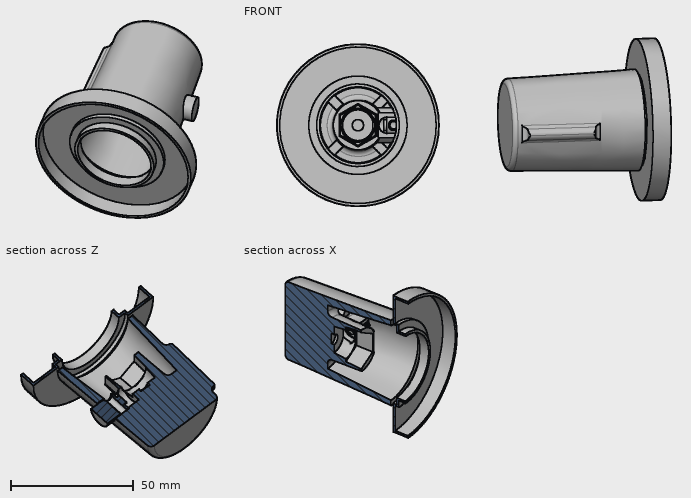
import cadquery as cq
import math


rosette_diameter = 66.0
rosette_wall = 1.2
rosette_depth = 7.6
step_diameter = 40.0
step_rise = 1.8
step_recess_diameter = 38.0
sleeve_bore_diameter = 31.2
sleeve_front_y = 1.3

knob_front_y = 8.6
knob_back_y = 62.75
knob_back_diameter = 37.6
knob_draft = 2.0
knob_back_rounding = 2.0
cavity_floor_y = 40.9
cavity_floor_diameter = 30.5
cavity_mouth_diameter = 36.05

hub_front_y = 23.75
hub_front_diameter = 20.0
hub_root_diameter = 20.85
hub_fillet = 2.2
hex_flats = 15.2
hex_floor_flats = 14.25
hex_depth = 7.9
socket_mouth_diameter = 13.8
socket_floor_diameter = 12.5
socket_floor_y = 37.6
socket_hole_diameter = 4.6
socket_hole_depth = 1.3

web_count = 4
web_width = 3.75
web_front_y = 37.6
web_embed = 1.3

button_y = 36.8
button_diameter = 10.1
button_bore_diameter = 10.2
tip_bore_diameter = 9.25
tip_bore_end_x = 6.0
button_inner_x = 11.8
button_outer_x = 23.5
button_tip_diameter = 4.6
button_tip_x = 10.4
cross_hole_diameter = 3.1
cross_hole_rim_diameter = 4.15
cross_hole_x = 14.5
boss_diameter = 14.2
boss_flat_half_width = 5.15
boss_start_x = 8.3
slot_width = 6.55
boss_flat_y = button_y - math.sqrt((boss_diameter / 2) ** 2 - boss_flat_half_width**2)

rib_foot_start_y = 27.1
rib_foot_end_y = 59.15
rib_foot_width = 8.9
rib_foot_drop = 0.65
rib_flank_width = 4.75
rib_flank_rise = 1.1
rib_flank_flare_radius = 2.8
rib_crown_radius = 2.45
rib_height = 3.05
rib_end_flare_radius = 2.1
rib_end_rounding = rib_height - rib_end_flare_radius
rib_embed = 3.3

draft_slope = math.tan(math.radians(knob_draft))


def turned(points):
    """Revolve a closed (radius, y) outline about the Y axis."""
    return cq.Workplane("XY").polyline(points).close().revolve(360, (0, 0, 0), (0, 1, 0))


def rod_x(diameter, x_start, x_end):
    """Round rod along X, centred on the button axis."""
    plane = cq.Workplane("YZ", origin=(x_start, button_y, 0))
    return plane.circle(diameter / 2).extrude(x_end - x_start)


def knob_radius(y):
    """Outer radius of the drafted knob shell."""
    return knob_back_diameter / 2 + (knob_back_y - y) * draft_slope


def cavity_radius(y):
    """Inner radius of the tapered knob cavity."""
    depth_ratio = (y - knob_front_y) / (cavity_floor_y - knob_front_y)
    return (cavity_mouth_diameter + (cavity_floor_diameter - cavity_mouth_diameter) * depth_ratio) / 2


def block(x_start, x_end, y_start, y_end, width):
    """Rectangular block, centred on z = 0."""
    box = cq.Workplane("XY").box(x_end - x_start, y_end - y_start, width, centered=(False, False, True))
    return box.translate((x_start, y_start, 0))


def make_rosette():
    outer = rosette_diameter / 2
    bore = sleeve_bore_diameter / 2
    step = step_diameter / 2
    recess = step_recess_diameter / 2
    plate_y = rosette_depth - rosette_wall
    step_y = plate_y - step_rise
    return turned([
        (outer, 0),
        (outer, rosette_depth),
        (recess, rosette_depth),
        (recess, step_y + rosette_wall),
        (bore, step_y + rosette_wall),
        (bore, sleeve_front_y),
        (bore + rosette_wall, sleeve_front_y),
        (bore + rosette_wall, step_y),
        (step, step_y),
        (step, plate_y),
        (outer - rosette_wall, plate_y),
        (outer - rosette_wall, 0),
    ])


def rib_cross_section(length):
    """Rounded crown with flared flanks, extruded along the rib; height runs toward -X."""
    foot = rib_foot_width / 2
    flank = rib_flank_width / 2
    return (
        cq.Workplane("XZ")
        .moveTo(rib_embed, -foot)
        .lineTo(rib_foot_drop, -foot)
        .radiusArc((-rib_flank_rise, -flank), -rib_flank_flare_radius)
        .radiusArc((-rib_height, 0), rib_crown_radius)
        .radiusArc((-rib_flank_rise, flank), rib_crown_radius)
        .radiusArc((rib_foot_drop, foot), -rib_flank_flare_radius)
        .lineTo(rib_embed, foot)
        .close()
        .extrude(length / 2, both=True)
    )


def rib_long_section(length):
    """Rounded and flared ends, extruded across the rib; height runs toward -X."""
    foot = length / 2
    end = foot - rib_end_flare_radius
    crown = end - rib_end_rounding
    return (
        cq.Workplane("XY")
        .moveTo(rib_embed, -foot)
        .lineTo(0, -foot)
        .radiusArc((-rib_end_flare_radius, -end), -rib_end_flare_radius)
        .radiusArc((-rib_height, -crown), rib_end_rounding)
        .lineTo(-rib_height, crown)
        .radiusArc((-rib_end_flare_radius, end), rib_end_rounding)
        .radiusArc((0, foot), -rib_end_flare_radius)
        .lineTo(rib_embed, foot)
        .close()
        .extrude(rib_foot_width, both=True)
    )


def make_grip_rib():
    length = rib_foot_end_y - rib_foot_start_y
    middle_y = (rib_foot_start_y + rib_foot_end_y) / 2
    rib = rib_cross_section(length).intersect(rib_long_section(length))
    rib = rib.rotate((0, 0, 0), (0, 0, 1), -knob_draft)
    return rib.translate((-knob_radius(middle_y), middle_y, 0))


def make_shell():
    shell = turned([
        (0, knob_front_y),
        (knob_radius(knob_front_y), knob_front_y),
        (knob_radius(knob_back_y), knob_back_y),
        (0, knob_back_y),
    ])
    return shell.faces(">Y").edges().fillet(knob_back_rounding)


def make_cavity():
    return turned([
        (0, knob_front_y),
        (cavity_radius(knob_front_y), knob_front_y),
        (cavity_radius(cavity_floor_y), cavity_floor_y),
        (0, cavity_floor_y),
    ])


def make_hub():
    """Drafted hub whose root flares into the cavity floor."""
    root = hub_root_diameter / 2
    return (
        cq.Workplane("XY")
        .moveTo(0, hub_front_y)
        .lineTo(hub_front_diameter / 2, hub_front_y)
        .lineTo(root, cavity_floor_y - hub_fillet)
        .radiusArc((root + hub_fillet, cavity_floor_y), hub_fillet)
        .lineTo(0, cavity_floor_y)
        .close()
        .revolve(360, (0, 0, 0), (0, 1, 0))
    )


def make_webs():
    reach = cavity_radius(web_front_y) + web_embed
    webs = cq.Workplane("XY")
    for i in range(web_count):
        web = block(0, reach, web_front_y, cavity_floor_y, web_width)
        webs = webs.union(web.rotate((0, 0, 0), (0, 1, 0), (i + 0.5) * 360 / web_count))
    return webs


def make_boss():
    """Round boss along X with a flat front, standing on the cavity floor."""
    reach = cavity_radius(button_y) + web_embed
    foot = block(0, reach, button_y, cavity_floor_y, boss_diameter)
    front = block(0, reach, hub_front_y, boss_flat_y, boss_diameter)
    return rod_x(boss_diameter, 0, reach).union(foot).cut(front)


def make_socket():
    """Hexagonal socket, round socket behind it and the small hole in its floor."""
    corner_ratio = 2 / math.sqrt(3)
    hex_end_y = hub_front_y + hex_depth
    hexagon = (
        cq.Workplane("XZ", origin=(0, hub_front_y, 0))
        .transformed(rotate=(0, 0, 90))
        .polygon(6, hex_flats * corner_ratio)
        .workplane(offset=-hex_depth)
        .polygon(6, hex_floor_flats * corner_ratio)
        .loft(ruled=True)
    )
    hole_radius = socket_hole_diameter / 2
    hole_end_y = socket_floor_y + socket_hole_depth
    bore = turned([
        (0, hex_end_y),
        (socket_mouth_diameter / 2, hex_end_y),
        (socket_floor_diameter / 2, socket_floor_y),
        (hole_radius, socket_floor_y),
        (hole_radius, hole_end_y),
        (0, hole_end_y),
    ])
    return hexagon.union(bore)


def make_slot():
    """Round-ended slot through the flat of the boss into the button bore."""
    straight = block(button_inner_x, cavity_radius(button_y), hub_front_y, button_y, slot_width)
    start = cq.Workplane("XZ", origin=(button_inner_x, hub_front_y, 0))
    round_end = start.circle(slot_width / 2).extrude(hub_front_y - button_y)
    return straight.union(round_end)


def make_knob():
    knob = make_shell().union(make_grip_rib()).cut(make_cavity())
    knob = knob.union(make_hub()).union(make_webs()).union(make_boss())
    hub_trim = block(boss_start_x, hub_root_diameter / 2, hub_front_y, boss_flat_y, 2 * boss_flat_half_width)
    knob = knob.cut(hub_trim).cut(make_slot()).cut(make_socket())
    knob = knob.cut(rod_x(tip_bore_diameter, tip_bore_end_x, button_inner_x))
    return knob.cut(rod_x(button_bore_diameter, button_inner_x, button_outer_x))


def make_button():
    """Button with a reduced tip and a countersunk cross hole along Y."""
    radius = button_diameter / 2
    hole = cross_hole_diameter / 2
    rim = cross_hole_rim_diameter / 2
    rim_y = -math.sqrt(radius**2 - rim**2)
    cross_hole = turned([
        (0, -radius),
        (rim, -radius),
        (rim, rim_y),
        (hole, rim_y + rim - hole),
        (hole, radius),
        (0, radius),
    ])
    button = rod_x(button_diameter, button_inner_x, button_outer_x)
    button = button.union(rod_x(button_tip_diameter, button_tip_x, button_inner_x))
    return button.cut(cross_hole.translate((cross_hole_x, button_y, 0)))


rosette = make_rosette()
knob = make_knob()
button = make_button()

result = cq.Compound.makeCompound([rosette.val(), knob.val(), button.val()])